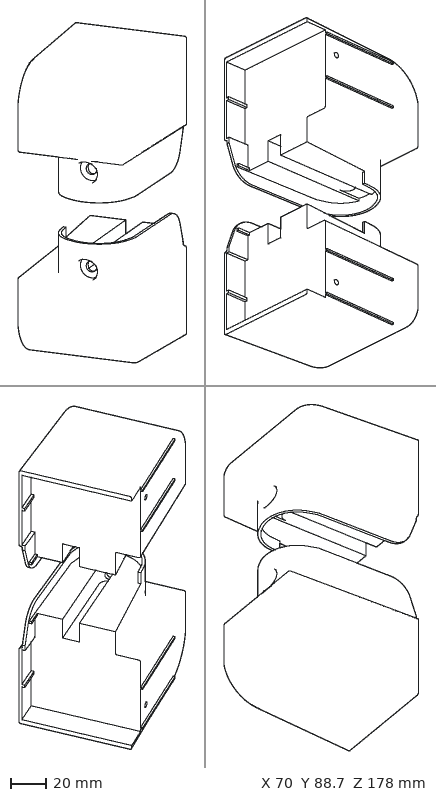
import cadquery as cq

LENGTH = 88.7
BOX_LEFT = -42.9
BOX_RIGHT = 26.2
SIDE_DRAFT = 2.0
OUTER_Z = 89.0
OUTER_DROP = 3.4
INNER_Z_REAR = 35.8
INNER_RISE = 1.5
NOSE_START_Y = -65.3
NOSE_MIDDLE = (-81.7, 79.0)
NOSE_END_Z = 66.2
EDGE_ROUND = 1.2

BOSS_END_Z = 12.3
BOSS_WALL = 1.8
BOSS_LEFT_REAR = (-28.7, 3.5)
BOSS_LEFT_TANGENT = (-23.0, -68.7)
BOSS_LEFT_JOINT = (-9.6, -85.6)
BOSS_FRONT = (-0.4, -87.6)
BOSS_RIGHT_JOINT = (8.9, -85.6)
BOSS_RIGHT_ARC_END = (20.1, -73.9)
BOSS_RIGHT_CORNER = (22.5, -66.8)
BOSS_RIGHT_REAR = (24.2, 3.5)
BOSS_ROOT_Z = 41.0
BOSS_ROOT_ROUND = 0.9
BOSS_REAR_Z = 33.5
BOSS_ROUND_START_Y = -17.6
BOSS_ROUND_END_Y = -4.6
BOSS_ROUND_END_Z = 20.7

LEDGE_DEPTH = 7.7
LEDGE_Z = BOSS_END_Z + LEDGE_DEPTH
LEFT_WALL_REAR_Y = -62.8
CHANNEL_WIDTH = 10.3
CHANNEL_DEPTH = 13.2
CHANNEL_ROUND_Y = -70.3
SHALLOW_DEPTH = 1.6

SCREW_Z = 29.0
SCREW_RADIUS = 3.2
COUNTERBORE_RADIUS = 6.8
COUNTERBORE_END_Y = -77.3
COUNTERBORE_RIM_ROUND = 1.6

NOTCH_LENGTH = 14.5
PLATE_Z = 86.0
FLANGE_THICKNESS = 1.8
FLANGE_INNER_Z = 36.9
RAIL_WIDTH = 1.8
SHELF_RAIL_Z = 61.2
SHELF_RAIL_THICKNESS = 1.8
LEDGE_RAIL_REAR_Y = -5.9
LEDGE_RAIL_THICKNESS = 1.6

RIB_HEIGHT = 1.2
RIB_THICKNESS = 1.0
RIB_FRONT_Y = -67.3
RIB_CENTRES_Z = (55.5, 83.7)
PIN_HOLE_RADIUS = 1.6
PIN_HOLE_Y = -23.1
PIN_HOLE_Z = 73.0
PIN_HOLE_DEPTH = 3.5

MARGIN = 1.8


def block(x0, x1, y0, y1, z0, z1):
    return cq.Workplane("XY").box(x1 - x0, y1 - y0, z1 - z0, centered=False).translate((x0, y0, z0))


def left_side_x(y):
    return BOX_LEFT - y / LENGTH * SIDE_DRAFT


def front_cylinder(radius, y_front, depth):
    """Cylinder on the screw axis, from y_front towards the rear."""
    return cq.Workplane("XZ", origin=(0, y_front, SCREW_Z)).circle(radius).extrude(-depth)


def make_box():
    """Drafted block with its side and inner front edges rounded."""
    outer_slope = OUTER_DROP / LENGTH
    profile = (
        cq.Workplane("YZ", origin=(BOX_LEFT, 0, 0))
        .moveTo(0, INNER_Z_REAR)
        .lineTo(0, OUTER_Z)
        .lineTo(NOSE_START_Y, OUTER_Z + NOSE_START_Y * outer_slope)
        .threePointArc(NOSE_MIDDLE, (-LENGTH, NOSE_END_Z))
        .lineTo(-LENGTH, INNER_Z_REAR + INNER_RISE)
        .close()
        .extrude(BOX_RIGHT - BOX_LEFT)
    )
    plan = (
        cq.Workplane("XY")
        .polyline([
            (BOX_LEFT, 0),
            (BOX_LEFT + SIDE_DRAFT, -LENGTH),
            (BOX_RIGHT - SIDE_DRAFT, -LENGTH),
            (BOX_RIGHT, 0),
        ])
        .close()
        .extrude(OUTER_Z)
    )
    box = profile.intersect(plan)
    sides = box.faces("<X").add(box.faces(">X"))
    edges = sides.edges("not >Y").add(box.faces("<Z").edges("<Y"))
    return edges.fillet(EDGE_ROUND)


def boss_outline():
    return (
        cq.Workplane("XY", origin=(0, 0, BOSS_END_Z))
        .moveTo(*BOSS_LEFT_REAR)
        .lineTo(*BOSS_LEFT_TANGENT)
        .tangentArcPoint(BOSS_LEFT_JOINT, relative=False)
        .threePointArc(BOSS_FRONT, BOSS_RIGHT_JOINT)
        .tangentArcPoint(BOSS_RIGHT_ARC_END, relative=False)
        .lineTo(*BOSS_RIGHT_CORNER)
        .lineTo(*BOSS_RIGHT_REAR)
        .close()
    )


def boss_interior(depth):
    """Space inside the boss wall, from the boss end to the given depth."""
    return boss_outline().offset2D(-BOSS_WALL).extrude(depth)


def counterbore():
    return front_cylinder(COUNTERBORE_RADIUS, -LENGTH, LENGTH + COUNTERBORE_END_Y)


def make_boss():
    """Solid neck with the rounded mouth of the counterbore."""
    boss = boss_outline().extrude(BOSS_ROOT_Z - BOSS_END_Z)
    side_profile = (
        cq.Workplane("YZ", origin=(BOX_LEFT, 0, 0))
        .moveTo(-LENGTH, BOSS_END_Z)
        .lineTo(BOSS_ROUND_START_Y, BOSS_END_Z)
        .tangentArcPoint((BOSS_ROUND_END_Y, BOSS_ROUND_END_Z), relative=False)
        .lineTo(0, BOSS_REAR_Z)
        .lineTo(0, BOSS_ROOT_Z)
        .lineTo(-LENGTH, BOSS_ROOT_Z)
        .close()
        .extrude(BOX_RIGHT - BOX_LEFT)
    )
    boss = boss.intersect(side_profile).cut(counterbore())
    rim = cq.selectors.NearestToPointSelector((0, BOSS_FRONT[1], SCREW_Z))
    return boss.edges(rim).fillet(COUNTERBORE_RIM_ROUND)


def boss_pocket():
    """Space above the ledge, open to the rear and to the left behind the left wall."""
    left_wall_gap = block(BOX_LEFT, 0, LEFT_WALL_REAR_Y, 0, BOSS_END_Z, LEDGE_Z)
    return boss_interior(LEDGE_DEPTH).union(left_wall_gap)


def channel():
    """Slot in the ledge: deep behind the counterbore and shallow above it."""
    half = CHANNEL_WIDTH / 2
    deep_z = LEDGE_Z + CHANNEL_DEPTH
    deep = block(-half, half, CHANNEL_ROUND_Y, MARGIN, BOSS_END_Z, deep_z)
    round_end = (
        cq.Workplane("XY", origin=(0, CHANNEL_ROUND_Y, BOSS_END_Z))
        .circle(half)
        .extrude(deep_z - BOSS_END_Z)
    )
    shallow_z = LEDGE_Z + SHALLOW_DEPTH
    shallow = block(-half, half, -LENGTH, CHANNEL_ROUND_Y, BOSS_END_Z, shallow_z)
    shallow = shallow.intersect(boss_interior(shallow_z - BOSS_END_Z))
    return deep.union(round_end).union(shallow)


def screw_hole():
    """Through hole from the front into the channel, with its counterbore."""
    hole = front_cylinder(SCREW_RADIUS, -LENGTH, LENGTH + CHANNEL_ROUND_Y)
    return hole.union(counterbore())


def rear_notch():
    """Room behind the left side, bounded by the outer plate and the right flange with its rails."""
    flange_x = BOX_RIGHT - FLANGE_THICKNESS
    box_part = block(BOX_LEFT, flange_x, -NOTCH_LENGTH, MARGIN, FLANGE_INNER_Z, PLATE_Z)
    left_part = block(BOX_LEFT, 0, -NOTCH_LENGTH, MARGIN, 0, FLANGE_INNER_Z)
    right_part = block(0, BOX_RIGHT, -NOTCH_LENGTH, MARGIN, 0, FLANGE_INNER_Z)
    right_part = right_part.intersect(boss_interior(FLANGE_INNER_Z - BOSS_END_Z))
    shelf_rail = block(
        flange_x - RAIL_WIDTH, BOX_RIGHT, -NOTCH_LENGTH, MARGIN,
        SHELF_RAIL_Z, SHELF_RAIL_Z + SHELF_RAIL_THICKNESS,
    )
    ledge_rail = block(
        BOSS_RIGHT_REAR[0] - BOSS_WALL - RAIL_WIDTH, BOX_RIGHT, -NOTCH_LENGTH, LEDGE_RAIL_REAR_Y,
        LEDGE_Z, LEDGE_Z + LEDGE_RAIL_THICKNESS,
    )
    room = box_part.union(left_part).union(right_part)
    return room.cut(shelf_rail).cut(ledge_rail)


def side_rib(centre_z):
    """Straight rib along the leaning left side."""
    rear_y = -NOTCH_LENGTH
    return (
        cq.Workplane("XY", origin=(0, 0, centre_z - RIB_THICKNESS / 2))
        .polyline([
            (left_side_x(rear_y) - RIB_HEIGHT, rear_y),
            (left_side_x(RIB_FRONT_Y) - RIB_HEIGHT, RIB_FRONT_Y),
            (left_side_x(RIB_FRONT_Y) + MARGIN, RIB_FRONT_Y),
            (left_side_x(rear_y) + MARGIN, rear_y),
        ])
        .close()
        .extrude(RIB_THICKNESS)
    )


def pin_hole():
    start_x = BOX_LEFT - MARGIN
    depth = left_side_x(PIN_HOLE_Y) + PIN_HOLE_DEPTH - start_x
    return (
        cq.Workplane("YZ", origin=(start_x, PIN_HOLE_Y, PIN_HOLE_Z)).circle(PIN_HOLE_RADIUS).extrude(depth)
    )


def make_cap():
    cap = make_box().union(make_boss())
    root_edges = cq.selectors.BoxSelector(
        (BOSS_LEFT_REAR[0], BOSS_LEFT_JOINT[1] - MARGIN, INNER_Z_REAR),
        (BOSS_RIGHT_REAR[0] - EDGE_ROUND / 2, -MARGIN, INNER_Z_REAR + INNER_RISE),
    )
    cap = cap.edges(root_edges).fillet(BOSS_ROOT_ROUND)
    for cutter in (boss_pocket(), channel(), screw_hole(), rear_notch(), pin_hole()):
        cap = cap.cut(cutter)
    for centre_z in RIB_CENTRES_Z:
        cap = cap.union(side_rib(centre_z))
    return cap


upper_cap = make_cap()
lower_cap = upper_cap.mirror("XY")
result = cq.Compound.makeCompound([upper_cap.val(), lower_cap.val()])